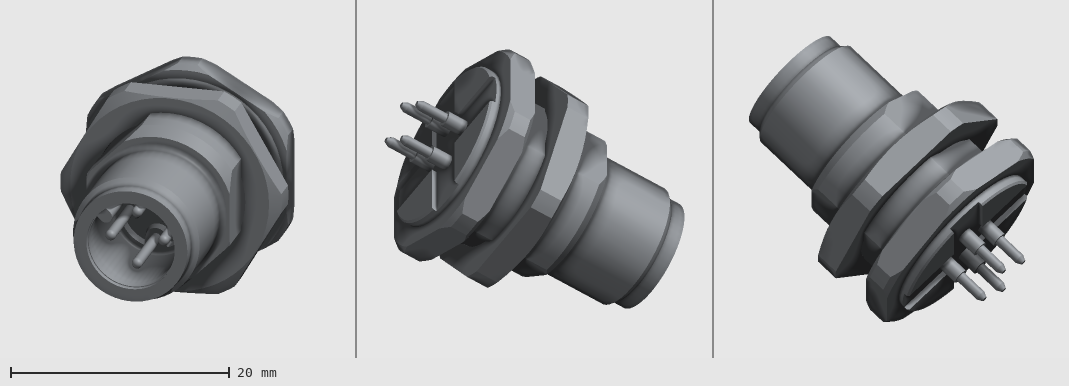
import cadquery as cq
import math


nose_diameter = 10.8
nose_length = 1.4
barrel_diameter = 12.0
shoulder_y = 9.5
shoulder_fillet = 0.5
body_diameter = 16.0
body_chamfer = 0.85
flat_offset = 6.8
flat_angles = (0, 180, 135, 315)

hex_across_flats = 19.05
corner_diameter = 21.0
nut_front_y = 13.5
nut_thickness = 2.82
nut_bore_diameter = 14.38
nut_face_diameter = 18.88
nut_chamfer_length = 0.52

flange_front_y = 19.3
flange_rear_y = 22.0
flange_chamfer = 0.5
seal_diameter = 1.0
seal_mean_radius = 8.72
seal_projection = 0.35

rim_rear_y = 23.0
rim_chamfer = 0.2
rim_slot_width = 3.7
rim_slot_depth = 0.5

mouth_diameter = 8.4
insert_front_y = 0.5
insert_bore_diameter = 8.22
socket_floor_y = 8.83
floor_fillet = 0.28
key_width = 1.21
key_tip_radius = 2.93
key_angle = 135

pocket_diameter = 6.95
pocket_depth = 0.72
pocket_draft = 14
pad_diameter = 2.0
channel_end_radius = 2.18
pocket_corner_fillet = 0.17

pin_spacing = 2.5
pin_diameter = 1.0
pin_tip_y = 1.82
pin_root_diameter = 1.5
pin_root_end_y = 24.5
pin_end_y = 27.6
pin_end_chamfer_length = 0.5
pin_end_chamfer = 0.25
pin_angles = (0, 90, 180, 270)


def plane_at(y):
    """Workplane facing the mouth, with its axes along X and Z."""
    return cq.Workplane("XZ", origin=(0, y, 0))


def disc(diameter, start_y, end_y):
    return plane_at(start_y).circle(diameter / 2).extrude(start_y - end_y)


def turned(profile):
    """Revolve a closed (radius, y) profile about the connector axis."""
    return cq.Workplane("XY").polyline(profile).close().revolve(360, (0, 0, 0), (0, 1, 0))


def turn_about_axis(shape, angle):
    """Turn a shape about Y, from +X towards +Z."""
    return shape.rotate((0, 0, 0), (0, 1, 0), -angle)


def hexagon(start_y, end_y):
    """Hexagonal plate with two corners on the X axis."""
    across_corners = hex_across_flats / math.cos(math.pi / 6)
    return plane_at(start_y).polygon(6, across_corners).extrude(start_y - end_y)


def make_shell():
    nose_radius = nose_diameter / 2
    barrel_radius = barrel_diameter / 2
    body_radius = body_diameter / 2
    nose_step = barrel_radius - nose_radius
    body = turned([
        (0, shoulder_y),
        (body_radius - body_chamfer, shoulder_y),
        (body_radius, shoulder_y + body_chamfer),
        (body_radius, flange_front_y),
        (0, flange_front_y),
    ])
    flat_length = flange_front_y - shoulder_y
    for angle in flat_angles:
        cutter = cq.Workplane("XY").box(
            body_radius, flat_length, body_diameter, centered=(False, False, True)
        ).translate((flat_offset, shoulder_y, 0))
        body = body.cut(turn_about_axis(cutter, angle))
    root_radius = barrel_radius + shoulder_fillet
    barrel = (
        cq.Workplane("XY")
        .moveTo(0, 0)
        .lineTo(nose_radius, 0)
        .lineTo(nose_radius, nose_length)
        .lineTo(barrel_radius, nose_length + nose_step)
        .lineTo(barrel_radius, shoulder_y - shoulder_fillet)
        .radiusArc((root_radius, shoulder_y), shoulder_fillet)
        .lineTo(0, shoulder_y)
        .close()
        .revolve(360, (0, 0, 0), (0, 1, 0))
    )
    return body.union(barrel)


def make_nut():
    rear_y = nut_front_y + nut_thickness
    corner_radius = corner_diameter / 2
    envelope = turned([
        (0, nut_front_y),
        (nut_face_diameter / 2, nut_front_y),
        (corner_radius, nut_front_y + nut_chamfer_length),
        (corner_radius, rear_y),
        (0, rear_y),
    ])
    nut = hexagon(nut_front_y, rear_y).intersect(envelope)
    return nut.cut(disc(nut_bore_diameter, nut_front_y, rear_y))


def make_flange():
    envelope = disc(corner_diameter, flange_front_y, flange_rear_y).edges().chamfer(flange_chamfer)
    plate = turn_about_axis(hexagon(flange_front_y, flange_rear_y), 90)
    return plate.intersect(envelope)


def make_seal():
    section_radius = seal_diameter / 2
    center_y = flange_front_y - seal_projection + section_radius
    return (
        cq.Workplane("XY")
        .center(seal_mean_radius, center_y)
        .circle(section_radius)
        .revolve(360, (-seal_mean_radius, 0, 0), (-seal_mean_radius, 1, 0))
    )


def make_rim():
    rim = disc(body_diameter, flange_rear_y, rim_rear_y).faces(">Y").chamfer(rim_chamfer)
    slot = cq.Workplane("XY").box(
        body_diameter, rim_slot_depth, rim_slot_width, centered=(True, False, True)
    ).translate((0, rim_rear_y - rim_slot_depth, 0))
    return rim.cut(slot).cut(turn_about_axis(slot, 90))


def make_socket():
    """Solid to remove for the socket: mouth recess and insert bore around the coding key."""
    bore = disc(insert_bore_diameter, insert_front_y, socket_floor_y)
    bore = bore.faces(">Y").edges().fillet(floor_fillet)
    tip_center = key_tip_radius + key_width / 2
    key_root_length = mouth_diameter / 2 - tip_center
    key_tip = (
        plane_at(insert_front_y)
        .center(tip_center, 0)
        .circle(key_width / 2)
        .extrude(insert_front_y - socket_floor_y)
    )
    key_root = (
        plane_at(insert_front_y)
        .center(tip_center + key_root_length / 2, 0)
        .rect(key_root_length, key_width)
        .extrude(insert_front_y - socket_floor_y)
    )
    bore = bore.cut(turn_about_axis(key_tip.union(key_root), key_angle))
    return bore.union(disc(mouth_diameter, 0, insert_front_y))


def make_pad(angle):
    """Land around one pin, running out past the pocket's rim and widening with depth."""
    end_y = socket_floor_y + pocket_depth
    base_width = pad_diameter + 2 * pocket_depth * math.tan(math.radians(pocket_draft))
    straight_length = pocket_diameter / 2
    pad = (
        plane_at(end_y)
        .center(pin_spacing + straight_length / 2, 0)
        .slot2D(straight_length + base_width, base_width)
        .extrude(pocket_depth, taper=pocket_draft)
    )
    return turn_about_axis(pad, angle)


def make_channel():
    """Round-ended arm of the pocket below the key, tangent to the two pads beside it."""
    neck_radius = pin_spacing / math.sqrt(2)
    width = 2 * neck_radius - pad_diameter
    channel = (
        plane_at(socket_floor_y)
        .center(channel_end_radius / 2, 0)
        .slot2D(channel_end_radius + width, width)
        .extrude(-pocket_depth, taper=pocket_draft)
    )
    return turn_about_axis(channel, key_angle)


def make_pocket():
    """Drafted relief around the pin pads, reduced to a narrow channel on the key side."""
    end_y = socket_floor_y + pocket_depth
    relief = plane_at(socket_floor_y).circle(pocket_diameter / 2)
    relief = relief.extrude(-pocket_depth, taper=pocket_draft)
    key_side = cq.Workplane("XY").box(
        pocket_diameter, pocket_depth, pocket_diameter, centered=False
    ).translate((0, socket_floor_y, 0))
    quadrant_middle_angle = 45
    key_side = turn_about_axis(key_side, key_angle - quadrant_middle_angle)
    center_zone = disc(pin_spacing * math.sqrt(2), socket_floor_y, end_y)
    pocket = relief.cut(key_side.cut(center_zone)).union(make_channel())
    for angle in pin_angles:
        pocket = pocket.cut(make_pad(angle))

    middle_y = (socket_floor_y + end_y) / 2
    corner_search_radius = pin_spacing + pad_diameter / 4

    def is_outer_corner(edge):
        """True for the upright edges where the pad sides meet the pocket's outer wall."""
        center = edge.Center()
        is_upright = abs(center.y - middle_y) < pocket_depth / 4
        return is_upright and math.hypot(center.x, center.z) > corner_search_radius

    return pocket.edges().filter(is_outer_corner).fillet(pocket_corner_fillet)


def make_boss():
    """Drafted boss in the middle of the pocket, level with the socket floor."""
    return plane_at(socket_floor_y).circle(pad_diameter / 2).extrude(-pocket_depth, taper=-pocket_draft)


def make_pin():
    """Pin on the axis: rounded contact tip, thick root and chamfered solder end."""
    radius = pin_diameter / 2
    tip = cq.Workplane("XY").sphere(radius).translate((0, pin_tip_y + radius, 0))
    shaft = disc(pin_diameter, pin_tip_y + radius, pin_end_y)
    shaft = shaft.faces(">Y").chamfer(pin_end_chamfer_length, pin_end_chamfer)
    root = disc(pin_root_diameter, rim_rear_y - rim_slot_depth, pin_root_end_y)
    return shaft.union(tip).union(root)


result = make_shell().union(make_flange()).union(make_seal()).union(make_rim())
result = result.cut(make_socket()).cut(make_pocket()).union(make_boss()).union(make_nut())
for angle in pin_angles:
    result = result.union(turn_about_axis(make_pin().translate((pin_spacing, 0, 0)), angle))